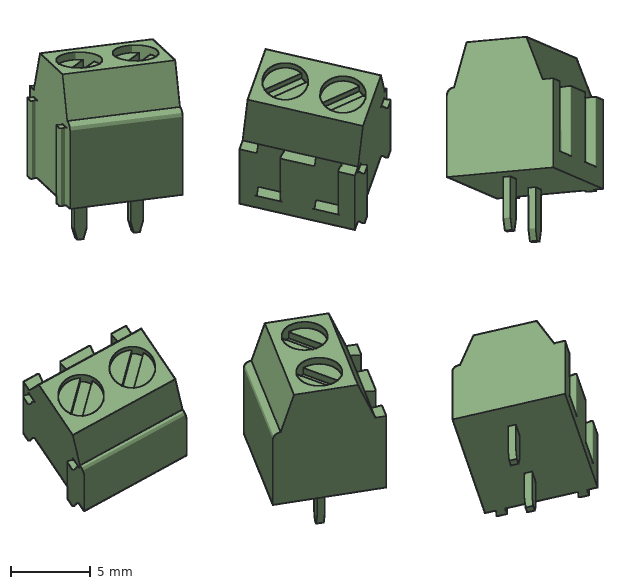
import cadquery as cq
import math


total_height = 12.0

width = 7.4
depth = 7.6
housing_height = 8.59
ledge_height = 5.75
left_ledge = 0.72
shoulder_radius = 0.5
top_left = 1.86
top_right = 6.02

pole_count = 2
pole_pitch = depth / pole_count
pole_x = 3.9
pole_places = [(index + 0.5) * pole_pitch for index in range(pole_count)]

screw_diameter = 2.9
screw_recess = 0.5
slot_width = 0.77
slot_depth = 0.5
slot_angle = -45.0

pocket_mouth = 1.5
pocket_back = 1.75
pocket_radius = 0.1
pocket_floor = 1.24

rib_root = 0.5
rib_tip = 0.8
rib_projection = 0.45
rib_radius = 0.1
rib_height = 5.25
rib_inset = 1.01

pin_length = total_height - housing_height
pin_thickness = 0.5
pin_width = 0.85
pin_tip_width = 0.4
pin_tip_length = 0.75


def dovetail(root, tip, length, radius, height):
    """Upright dovetail growing from the XZ plane toward -Y, flared at its root and rounded at its tip."""
    tilt = math.atan((tip - root) / 2 / length)
    setback = radius / math.tan((math.pi / 2 - tilt) / 2)
    side_step = setback * math.sin(tilt)
    length_step = setback * math.cos(tilt)

    root_x = root / 2 + setback
    wall_start = (root / 2 + side_step, -length_step)
    wall_end = (tip / 2 - side_step, length_step - length)
    tip_x = tip / 2 - setback
    return (
        cq.Workplane("XY")
        .moveTo(root_x, 0)
        .radiusArc(wall_start, -radius)
        .lineTo(*wall_end)
        .radiusArc((tip_x, -length), radius)
        .lineTo(-tip_x, -length)
        .radiusArc((-wall_end[0], wall_end[1]), radius)
        .lineTo(-wall_start[0], wall_start[1])
        .radiusArc((-root_x, 0), -radius)
        .close()
        .extrude(height)
    )


def make_block():
    """Housing outline extruded from front to back."""
    shoulder_x = width - shoulder_radius
    return (
        cq.Workplane("XZ")
        .moveTo(0, 0)
        .lineTo(width, 0)
        .lineTo(width, ledge_height - shoulder_radius)
        .radiusArc((shoulder_x, ledge_height), -shoulder_radius)
        .lineTo(top_right, housing_height)
        .lineTo(top_left, housing_height)
        .lineTo(left_ledge, ledge_height)
        .lineTo(0, ledge_height)
        .close()
        .extrude(-depth)
    )


def make_screw_recess(y):
    """Material removed above one screw head, with the head's driver slot."""
    head_z = housing_height - screw_recess
    recess = cq.Workplane("XY").circle(screw_diameter / 2).extrude(screw_recess)
    slot_bar = cq.Workplane("XY").rect(2 * screw_diameter, slot_width).extrude(-slot_depth)
    slot = cq.Workplane("XY").circle(screw_diameter / 2).extrude(-slot_depth).intersect(slot_bar)
    slot = slot.rotate((0, 0, 0), (0, 0, 1), slot_angle)
    return recess.union(slot).translate((pole_x, y, head_z))


def make_pocket(y):
    """Dovetail pocket in the -X side, open at the ledge."""
    pocket = dovetail(pocket_mouth, pocket_back, left_ledge, pocket_radius, ledge_height - pocket_floor)
    return pocket.rotate((0, 0, 0), (0, 0, 1), 90).translate((0, y, pocket_floor))


def make_housing():
    housing = make_block()
    for y in pole_places:
        housing = housing.cut(make_screw_recess(y))
        housing = housing.cut(make_pocket(y))
    for x in (rib_inset, width - rib_inset):
        rib = dovetail(rib_root, rib_tip, rib_projection, rib_radius, rib_height)
        housing = housing.union(rib.translate((x, 0, 0)))
    return housing


def make_pin(y):
    """Flat solder pin below the housing, tapered in Y toward its tip."""
    taper_z = pin_tip_length - pin_length
    return (
        cq.Workplane("YZ")
        .polyline([
            (-pin_width / 2, 0),
            (pin_width / 2, 0),
            (pin_width / 2, taper_z),
            (pin_tip_width / 2, -pin_length),
            (-pin_tip_width / 2, -pin_length),
            (-pin_width / 2, taper_z),
        ])
        .close()
        .extrude(pin_thickness / 2, both=True)
        .translate((pole_x, y, 0))
    )


housing = make_housing()
pins = [make_pin(y) for y in pole_places]

result = cq.Compound.makeCompound([housing.solids().val(), *[pin.val() for pin in pins]])